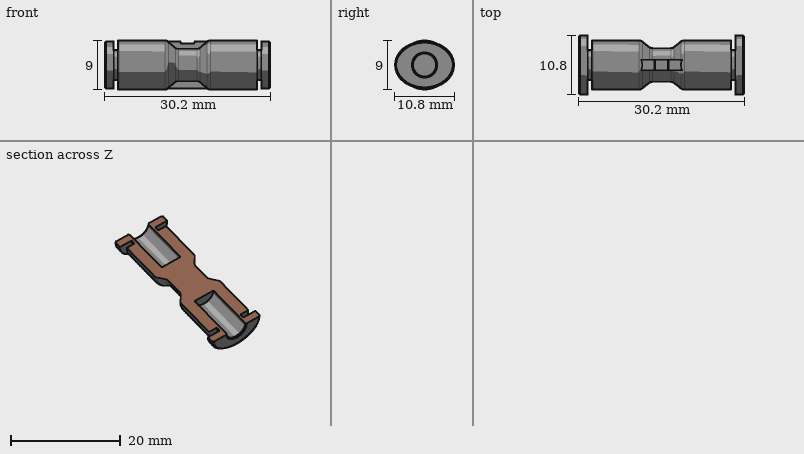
import cadquery as cq
import math

TOTAL_LENGTH = 30.2
BODY_LENGTH = 25.4
BODY_RADIUS = 4.5
BODY_END_FILLET = 0.1

WAIST_RADIUS = 3.1
WAIST_HALF_LENGTH = 2.0
SHOULDER_HALF_LENGTH = 3.8
SHOULDER_FILLET = 1.0
WAIST_FILLET = 0.9

RIB_WIDTH = 2.0
RIB_HEIGHT = 8.6
NOTCH_DEPTH = 0.35
NOTCH_TOP_WIDTH = 2.7
NOTCH_FLOOR_WIDTH = 2.3

STEM_RADIUS = 2.75
FLANGE_THICKNESS = 1.6
FLANGE_WIDTH = 10.8
FLANGE_HEIGHT = 8.6
FLANGE_CHAMFER = 0.25

SOCKET_RADIUS = 2.1
SOCKET_DEPTH = 10.0
SOCKET_CHAMFER = 0.22

HALF_LENGTH = TOTAL_LENGTH / 2
HALF_BODY = BODY_LENGTH / 2


def body_half_profile():
    """Outline in XY, axis to surface, of the +X half of the body with its shoulder blends."""
    slope = math.atan2(BODY_RADIUS - WAIST_RADIUS, SHOULDER_HALF_LENGTH - WAIST_HALF_LENGTH)
    along_x = math.cos(slope)
    along_y = math.sin(slope)
    waist_setback = WAIST_FILLET * math.tan(slope / 2)
    shoulder_setback = SHOULDER_FILLET * math.tan(slope / 2)
    return (
        cq.Workplane("XY")
        .moveTo(0, 0)
        .lineTo(0, WAIST_RADIUS)
        .lineTo(WAIST_HALF_LENGTH - waist_setback, WAIST_RADIUS)
        .tangentArcPoint(
            (WAIST_HALF_LENGTH + waist_setback * along_x, WAIST_RADIUS + waist_setback * along_y),
            relative=False,
        )
        .lineTo(
            SHOULDER_HALF_LENGTH - shoulder_setback * along_x,
            BODY_RADIUS - shoulder_setback * along_y,
        )
        .tangentArcPoint((SHOULDER_HALF_LENGTH + shoulder_setback, BODY_RADIUS), relative=False)
        .lineTo(HALF_BODY, BODY_RADIUS)
        .lineTo(HALF_BODY, 0)
        .close()
    )


def half_body():
    solid = body_half_profile().revolve(360, (0, 0, 0), (1, 0, 0))
    return solid.faces(">X").edges().fillet(BODY_END_FILLET)


def release_sleeve():
    """Stem and oval flange of the +X end."""
    stem = cq.Workplane("YZ", origin=(HALF_BODY, 0, 0)).circle(STEM_RADIUS).extrude(HALF_LENGTH - HALF_BODY)
    flange = (
        cq.Workplane("YZ", origin=(HALF_LENGTH - FLANGE_THICKNESS, 0, 0))
        .ellipse(FLANGE_WIDTH / 2, FLANGE_HEIGHT / 2)
        .extrude(FLANGE_THICKNESS)
        .faces(">X")
        .edges()
        .chamfer(FLANGE_CHAMFER)
    )
    return stem.union(flange)


def tube_socket():
    """Cutter for the blind socket of the +X end, with a chamfered mouth."""
    floor_x = HALF_LENGTH - SOCKET_DEPTH
    mouth_radius = SOCKET_RADIUS + SOCKET_CHAMFER
    return (
        cq.Workplane("XY")
        .moveTo(floor_x, 0)
        .lineTo(floor_x, SOCKET_RADIUS)
        .lineTo(HALF_LENGTH - SOCKET_CHAMFER, SOCKET_RADIUS)
        .lineTo(HALF_LENGTH, mouth_radius)
        .lineTo(HALF_LENGTH, 0)
        .close()
        .revolve(360, (0, 0, 0), (1, 0, 0))
    )


def waist_rib():
    """Rib across the waist, long enough to bury its ends in the shoulders."""
    top = RIB_HEIGHT / 2
    notch_floor = top - NOTCH_DEPTH
    rib_end = SHOULDER_HALF_LENGTH + SHOULDER_FILLET
    return (
        cq.Workplane("XZ")
        .moveTo(-rib_end, -top)
        .lineTo(rib_end, -top)
        .lineTo(rib_end, top)
        .lineTo(NOTCH_TOP_WIDTH / 2, top)
        .lineTo(NOTCH_FLOOR_WIDTH / 2, notch_floor)
        .lineTo(-NOTCH_FLOOR_WIDTH / 2, notch_floor)
        .lineTo(-NOTCH_TOP_WIDTH / 2, top)
        .lineTo(-rib_end, top)
        .close()
        .extrude(RIB_WIDTH / 2, both=True)
    )


half_connector = half_body().union(release_sleeve()).cut(tube_socket())
connector = half_connector.union(half_connector.mirror("YZ"))
result = connector.union(waist_rib())